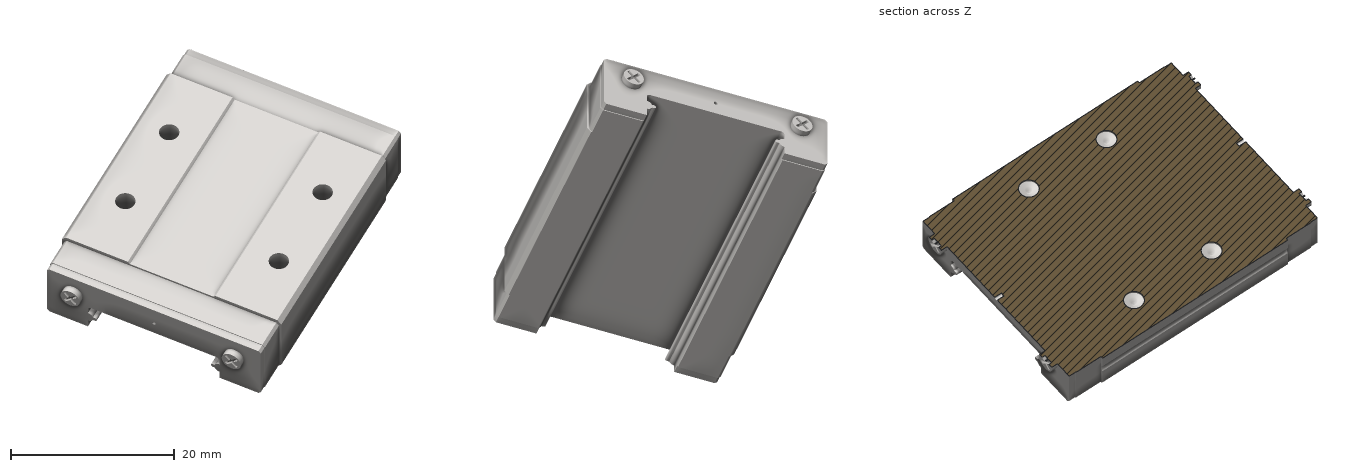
import cadquery as cq

WIDTH = 30.0
LENGTH = 40.2
HEIGHT = 9.0

BLOCK_LENGTH = 28.7
BLOCK_CHAMFER = 0.55
CHANNEL_WIDTH = 11.98
CHANNEL_FLOOR_WIDTH = 11.38
CHANNEL_DEPTH = 0.3
GROOVE_LOW_Z = 2.97
GROOVE_HIGH_Z = 4.0
GROOVE_DEPTH = 0.2

CAP_WIDTH = 29.35
CAP_HEIGHT = 8.45
CAP_CHAMFER = 0.35
CAPS_LENGTH = 36.42
PLATE_INSET_Z = 0.12
PLATE_WIDTH = 29.23
PLATE_CHAMFER = 0.32
PLATES_LENGTH = 38.47
PLATE_THICKNESS = (PLATES_LENGTH - CAPS_LENGTH) / 2

SLOT_WIDTH = 18.0
SLOT_HEIGHT = 3.95
SLOT_FILLET = 0.5
SLOT_MOUTH_CHAMFER = 0.12
RIDGE_Z = 2.0
RIDGE_RADIUS = 0.72
LIP_REACH = 1.2
LIP_RADIUS = 0.26

HOLE_DIAMETER = 2.5
HOLE_DEPTH = 3.5
HOLE_SPACING_X = 21.0
HOLE_SPACING_Y = 12.0
DRILL_POINT_DEPTH = 0.72

SCREW_SPACING = 22.03
SCREW_Z = 5.43
SCREW_DIAMETER = 2.6
RECESS_LENGTH = 2.1
RECESS_WIDTH = 0.4
RECESS_DEPTH = 0.4
PORT_DIAMETER = 0.5
PORT_Z = 5.8


def chamfered_bar(width, length, bottom, top, chamfer):
    """Bar centred on X and Y whose four edges along Y are chamfered."""
    bar = cq.Workplane("XY").box(width, length, top - bottom)
    return bar.edges("|Y").chamfer(chamfer).translate((0, 0, (bottom + top) / 2))


def along_y(length):
    """Workplane in X and Z, set so that an extrusion of this length is centred on Y."""
    return cq.Workplane("XZ", origin=(0, length / 2, 0))


def top_channel():
    """Shallow channel with sloping sides along the top of the block."""
    half_top = CHANNEL_WIDTH / 2
    half_floor = CHANNEL_FLOOR_WIDTH / 2
    floor_z = HEIGHT - CHANNEL_DEPTH
    outline = [(-half_top, HEIGHT), (-half_floor, floor_z), (half_floor, floor_z), (half_top, HEIGHT)]
    return along_y(BLOCK_LENGTH).polyline(outline).close().extrude(BLOCK_LENGTH)


def side_groove():
    """Arc-bottomed reference groove along the -X side of the block."""
    side_x = -WIDTH / 2
    middle = (side_x + GROOVE_DEPTH, (GROOVE_LOW_Z + GROOVE_HIGH_Z) / 2)
    profile = along_y(BLOCK_LENGTH).moveTo(side_x, GROOVE_LOW_Z)
    return profile.threePointArc(middle, (side_x, GROOVE_HIGH_Z)).close().extrude(BLOCK_LENGTH)


def mounting_hole():
    """Hole with a conical bottom, revolved about the Z axis and open at the top."""
    radius = HOLE_DIAMETER / 2
    floor_z = HEIGHT - HOLE_DEPTH
    profile = cq.Workplane("XZ").polyline(
        [(0, HEIGHT), (radius, HEIGHT), (radius, floor_z), (0, floor_z - DRILL_POINT_DEPTH)]
    )
    return profile.close().revolve(360, (0, 0, 0), (0, 1, 0))


def rail_slot():
    """Slot for the rail, less the rounded ridge and thin lip on each wall."""
    half = SLOT_WIDTH / 2
    slot = cq.Workplane("XY").box(SLOT_WIDTH, LENGTH, SLOT_HEIGHT, centered=(True, True, False))
    slot = slot.edges("|Y and >Z").fillet(SLOT_FILLET)
    flare = SLOT_MOUTH_CHAMFER
    mouth = along_y(LENGTH).polyline([(-half - flare, 0), (-half, flare), (half, flare), (half + flare, 0)])
    slot = slot.union(mouth.close().extrude(LENGTH))
    for side in (-1, 1):
        ridge = along_y(LENGTH).center(side * half, RIDGE_Z).circle(RIDGE_RADIUS).extrude(LENGTH)
        lip = along_y(LENGTH).center(side * (half - LIP_REACH / 2), RIDGE_Z)
        lip = lip.slot2D(LIP_REACH, 2 * LIP_RADIUS).extrude(LENGTH)
        slot = slot.cut(ridge).cut(lip)
    return slot


def screw_heads():
    """Two rods along the full length whose ends stand out as cross-recessed screw heads."""
    places = [(-SCREW_SPACING / 2, SCREW_Z), (SCREW_SPACING / 2, SCREW_Z)]
    heads = along_y(LENGTH).pushPoints(places).circle(SCREW_DIAMETER / 2).extrude(LENGTH)
    for end in (-1, 1):
        recess_y = end * (LENGTH - RECESS_DEPTH) / 2
        for x, z in places:
            for angle in (-45, 45):
                arm = cq.Workplane("XY").box(RECESS_LENGTH, RECESS_DEPTH, RECESS_WIDTH)
                arm = arm.rotate((0, 0, 0), (0, 1, 0), angle)
                heads = heads.cut(arm.translate((x, recess_y, z)))
    return heads


block = chamfered_bar(WIDTH, BLOCK_LENGTH, 0, HEIGHT, BLOCK_CHAMFER)
block = block.cut(top_channel()).cut(side_groove())

caps = chamfered_bar(CAP_WIDTH, CAPS_LENGTH, 0, CAP_HEIGHT, CAP_CHAMFER)
plates = chamfered_bar(PLATE_WIDTH, PLATES_LENGTH, PLATE_INSET_Z, CAP_HEIGHT - PLATE_INSET_Z, PLATE_CHAMFER)
carriage = block.union(caps).union(plates).cut(rail_slot()).union(screw_heads())

for x_side in (-1, 1):
    for y_side in (-1, 1):
        hole_place = (x_side * HOLE_SPACING_X / 2, y_side * HOLE_SPACING_Y / 2, 0)
        carriage = carriage.cut(mounting_hole().translate(hole_place))

for end in (-1, 1):
    port_y = end * (PLATES_LENGTH - PLATE_THICKNESS) / 2
    port = along_y(PLATE_THICKNESS).center(0, PORT_Z).circle(PORT_DIAMETER / 2).extrude(PLATE_THICKNESS)
    carriage = carriage.cut(port.translate((0, port_y, 0)))

result = carriage